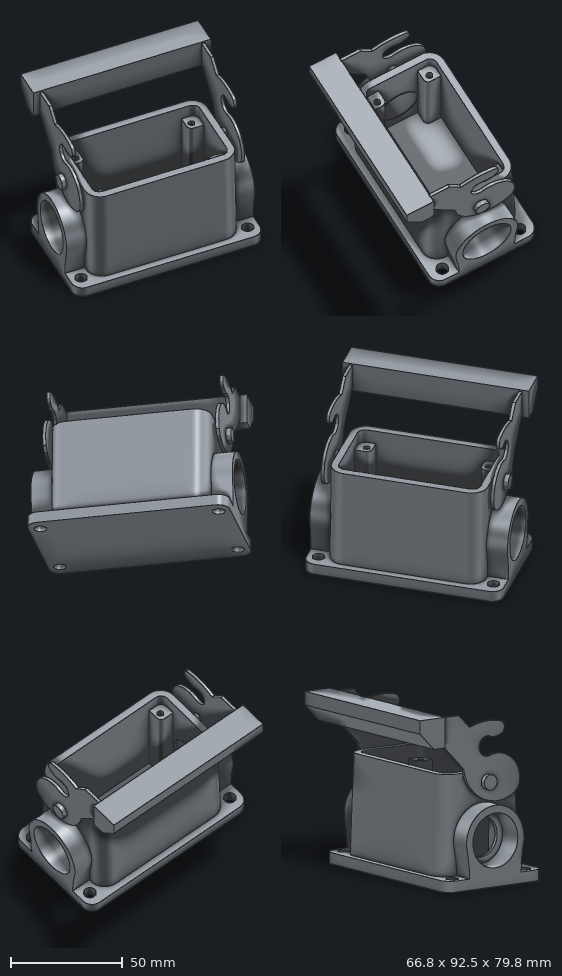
import cadquery as cq
import math

overall_width = 66.8

flange_width = 53.7
length = 92.5
flange_thickness = 5.2
flange_corner_radius = 5.4
mount_hole_radius = 2.8
mount_hole_x = 20.0
mount_hole_y = 40.9

housing_length = 72.9
housing_bottom_width = 47.0
housing_top_width = 43.1
housing_top_z = 51.5
housing_corner_radius = 7.6

cavity_width = 35.9
cavity_length = 66.0
cavity_corner_radius = 3.6
cavity_floor_z = flange_thickness
post_width = 7.9
post_length = 7.5
post_corner_radius = 2.5
post_top_z = 45.05
screw_hole_radius = 1.5
screw_hole_x = 13.5
screw_hole_y = 28.4
screw_hole_depth = 9.25

entry_z = 21.2
entry_radius = 16.0
entry_foot_half_width = 14.3
bore_radius = 12.5
bore_depth = 11.6
inner_bore_radius = 9.5
blank_radius = 10.0
blank_height = 0.4

pivot_z = 47.1
pin_radius = 2.4
pin_head_radius = 3.5
pin_end_y = 42.7
plate_outer_y = 40.4
plate_thickness = 1.5
grip_length = 87.2
grip_size = 14.0
grip_chamfer = 7.8
grip_left_x = flange_width / 2 - overall_width
grip_right_x = grip_left_x + grip_size
grip_top_z = 79.8

finger_radius = 27.75
finger_tip_x = 9.4
finger_tip_z = 71.0
finger_tip_radius = 3.1
finger_tip_end_angle = 77
finger_underside_x = 4.6
finger_underside_z = 67.25
notch_z = 63.3
notch_radius = 4.6
notch_start_angle = 58
notch_end_angle = -80
lobe_x = 5.4
lobe_radius = 12.5
lobe_middle_angle = 40
lobe_end_angle = -20
belly_x = 5.1
belly_z = 56.3
belly_radius = 18.5
belly_start_angle = -59
belly_end_angle = -173
arm_top_z = 79.0
arm_shoulder_x = -15.9
arm_bottom_z = 67.2


def on_circle(center_x, center_z, radius, angle):
    """Point on a circle, angle in degrees from +X towards +Z."""
    turn = math.radians(angle)
    return (center_x + radius * math.cos(turn), center_z + radius * math.sin(turn))


def make_flange():
    plate = cq.Workplane("XY").box(flange_width, length, flange_thickness, centered=(True, True, False))
    plate = plate.edges("|Z").fillet(flange_corner_radius)
    corners = [(sx * mount_hole_x, sy * mount_hole_y) for sx in (-1, 1) for sy in (-1, 1)]
    holes = cq.Workplane("XY").pushPoints(corners).circle(mount_hole_radius).extrude(flange_thickness)
    return plate.cut(holes)


def make_housing():
    bottom = housing_bottom_width / 2
    top = housing_top_width / 2
    outline = [
        (-bottom, flange_thickness),
        (bottom, flange_thickness),
        (top, housing_top_z),
        (-top, housing_top_z),
    ]
    block = cq.Workplane("XZ").polyline(outline).close().extrude(housing_length / 2, both=True)
    sloped_edges = block.edges("not(#Z or |Y)")
    return sloped_edges.fillet(housing_corner_radius)


def make_entry_bosses():
    """Round bosses whose flanks sweep tangentially down onto the flange."""
    rise = entry_z - flange_thickness
    foot = entry_foot_half_width
    flank_radius = (rise**2 + foot**2 - entry_radius**2) / (2 * (entry_radius - foot))
    tangent_angle = -math.degrees(math.atan2(rise, foot + flank_radius))
    tangent_x, tangent_z = on_circle(0, entry_z, entry_radius, tangent_angle)
    middle_angle = 180 + tangent_angle / 2
    middle_x, middle_z = on_circle(foot + flank_radius, flange_thickness, flank_radius, middle_angle)
    return (
        cq.Workplane("XZ")
        .moveTo(-foot, flange_thickness)
        .lineTo(foot, flange_thickness)
        .threePointArc((middle_x, middle_z), (tangent_x, tangent_z))
        .threePointArc((0, entry_z + entry_radius), (-tangent_x, tangent_z))
        .threePointArc((-middle_x, middle_z), (-foot, flange_thickness))
        .close()
        .extrude(length / 2, both=True)
    )


def make_cavity():
    height = housing_top_z - cavity_floor_z
    space = (
        cq.Workplane("XY", origin=(0, 0, cavity_floor_z))
        .rect(cavity_width, cavity_length)
        .extrude(height)
        .edges("|Z")
        .fillet(cavity_corner_radius)
    )
    for sx in (-1, 1):
        for sy in (-1, 1):
            space = space.cut(make_post(sx, sy))
    return space


def make_post(sx, sy):
    """Corner post with a rounded inner edge and a blind screw hole."""
    center_x = sx * (cavity_width - post_width) / 2
    center_y = sy * (cavity_length - post_length) / 2
    inner_edge = ("<X" if sx > 0 else ">X") + " and " + ("<Y" if sy > 0 else ">Y")
    post = (
        cq.Workplane("XY", origin=(center_x, center_y, cavity_floor_z))
        .rect(post_width, post_length)
        .extrude(post_top_z - cavity_floor_z)
        .edges("|Z and " + inner_edge)
        .fillet(post_corner_radius)
    )
    hole = (
        cq.Workplane("XY", origin=(sx * screw_hole_x, sy * screw_hole_y, post_top_z))
        .circle(screw_hole_radius)
        .extrude(-screw_hole_depth)
    )
    return post.cut(hole)


def cylinder_along_y(radius, z, start_y, end_y):
    return cq.Workplane("XZ", origin=(0, start_y, z)).circle(radius).extrude(start_y - end_y)


def make_entry_bores():
    end_y = length / 2
    step_y = end_y - bore_depth
    bores = cylinder_along_y(bore_radius, entry_z, -end_y, -step_y)
    bores = bores.union(cylinder_along_y(bore_radius, entry_z, step_y, end_y))
    return bores.union(cylinder_along_y(inner_bore_radius, entry_z, -step_y, -cavity_length / 2))


def make_blank():
    wall_y = cavity_length / 2
    return cylinder_along_y(blank_radius, entry_z, wall_y - blank_height, wall_y)


def make_lever_plate(side):
    """Hooked side plate, with side = -1 or 1 for the end it sits on."""
    slope_sum = arm_shoulder_x + arm_top_z - pivot_z
    finger_root_x = (slope_sum - math.sqrt(2 * finger_radius**2 - slope_sum**2)) / 2
    finger_root_z = pivot_z + slope_sum - finger_root_x

    tip_center_x = finger_tip_x - finger_tip_radius
    tip_top = on_circle(tip_center_x, finger_tip_z, finger_tip_radius, finger_tip_end_angle)
    tip_bottom = on_circle(tip_center_x, finger_tip_z, finger_tip_radius, -finger_tip_end_angle)
    notch_start = on_circle(0, notch_z, notch_radius, notch_start_angle)
    notch_end = on_circle(0, notch_z, notch_radius, notch_end_angle)
    lobe_middle = on_circle(lobe_x, pivot_z, lobe_radius, lobe_middle_angle)
    lobe_end = on_circle(lobe_x, pivot_z, lobe_radius, lobe_end_angle)
    belly_middle_angle = (belly_start_angle + belly_end_angle) / 2
    belly_start = on_circle(belly_x, belly_z, belly_radius, belly_start_angle)
    belly_middle = on_circle(belly_x, belly_z, belly_radius, belly_middle_angle)
    belly_end = on_circle(belly_x, belly_z, belly_radius, belly_end_angle)

    return (
        cq.Workplane("XZ", origin=(0, side * (plate_outer_y - plate_thickness / 2), 0))
        .moveTo(grip_right_x, arm_top_z)
        .lineTo(arm_shoulder_x, arm_top_z)
        .lineTo(finger_root_x, finger_root_z)
        .threePointArc((0, pivot_z + finger_radius), tip_top)
        .threePointArc((finger_tip_x, finger_tip_z), tip_bottom)
        .threePointArc((finger_underside_x, finger_underside_z), notch_start)
        .threePointArc((-notch_radius, notch_z), notch_end)
        .threePointArc(lobe_middle, lobe_end)
        .lineTo(*belly_start)
        .threePointArc(belly_middle, belly_end)
        .lineTo(grip_right_x, arm_bottom_z)
        .close()
        .extrude(plate_thickness / 2, both=True)
    )


def make_grip():
    outline = [
        (grip_left_x, grip_top_z),
        (grip_right_x, grip_top_z),
        (grip_right_x, grip_top_z - grip_size),
        (grip_left_x + grip_chamfer, grip_top_z - grip_size),
        (grip_left_x, grip_top_z - grip_size + grip_chamfer),
    ]
    return cq.Workplane("XZ").polyline(outline).close().extrude(grip_length / 2, both=True)


def make_pin(side):
    wall_y = side * cavity_length / 2
    end_y = side * pin_end_y
    shank = cylinder_along_y(pin_radius, pivot_z, wall_y, end_y)
    return shank.union(cylinder_along_y(pin_head_radius, pivot_z, side * plate_outer_y, end_y))


result = make_flange().union(make_housing()).union(make_entry_bosses())
result = result.cut(make_cavity()).cut(make_entry_bores()).union(make_blank()).union(make_grip())
for side in (-1, 1):
    result = result.union(make_lever_plate(side)).union(make_pin(side))